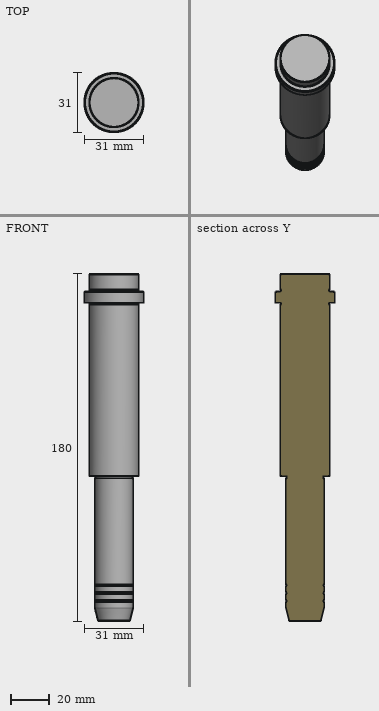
import cadquery as cq

total_height = 180.0
body_diameter = 25.7
collar_diameter = 31.0
guide_diameter = 20.0
tip_diameter = 16.5

collar_top = total_height - 9.0
collar_bottom = total_height - 15.0
guide_top = total_height - 105.0
taper_height = 6.8

undercut_width = 1.0
undercut_depth = 0.4
collar_chamfer = 0.5
body_chamfer = 0.4
head_chamfer = 0.4
tip_chamfer = 0.4
groove_width = 1.0
groove_depth = 0.4
groove_pitch = 4.1
groove_count = 3
lowest_groove_bottom = 9.9


def cylinder(diameter, bottom, top):
    """Solid cylinder on the Z axis between two heights."""
    return cq.Workplane("XY").workplane(offset=bottom).circle(diameter / 2).extrude(top - bottom)


def vee_groove(diameter, depth, bottom, width):
    """V-shaped ring cutter reaching the given depth below a cylinder surface."""
    radius = diameter / 2
    profile = [
        (radius, bottom),
        (radius - depth, bottom + width / 2),
        (radius, bottom + width),
    ]
    return cq.Workplane("XZ").polyline(profile).close().revolve(360, (0, 0, 0), (0, 1, 0))


tip = (
    cq.Workplane("XY")
    .circle(tip_diameter / 2)
    .workplane(offset=taper_height)
    .circle(guide_diameter / 2)
    .loft(ruled=True)
    .faces("<Z")
    .chamfer(tip_chamfer)
)

body = cylinder(body_diameter, guide_top, total_height)
body = body.faces("<Z").chamfer(body_chamfer)
body = body.faces(">Z").chamfer(head_chamfer)
collar = cylinder(collar_diameter, collar_bottom, collar_top).faces(">Z").chamfer(collar_chamfer)

for undercut_bottom in (collar_top, collar_bottom - undercut_width):
    body = body.cut(vee_groove(body_diameter, undercut_depth, undercut_bottom, undercut_width))

neck = cylinder(guide_diameter - 2 * undercut_depth, guide_top - undercut_width, guide_top)
guide = cylinder(guide_diameter, taper_height, guide_top - undercut_width).union(neck)

for index in range(groove_count):
    groove_bottom = lowest_groove_bottom + index * groove_pitch
    guide = guide.cut(vee_groove(guide_diameter, groove_depth, groove_bottom, groove_width))

result = tip.union(guide).union(body).union(collar)